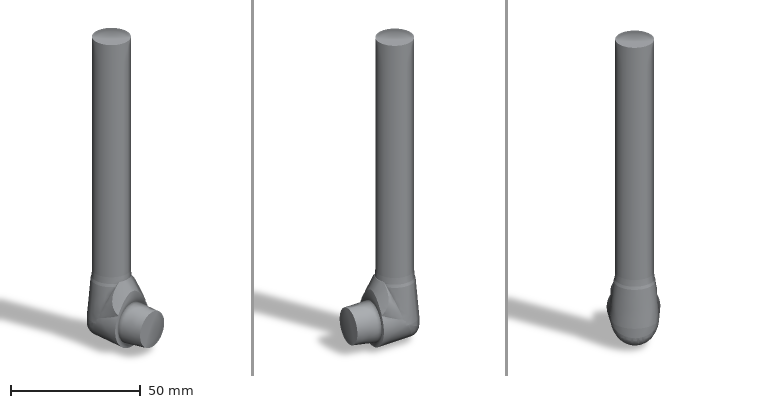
import cadquery as cq
import math

rod_radius = 7.5
rod_length = 100.0
outlet_reach = 20.0
taper = math.tan(math.radians(5.0))

hub_radius = 9.5
flange_x = 10.0
neck_start_z = 16.05
neck_end_z = 17.25
corner_radius = 5.0
corner_reach = 15.0
selection_margin = 1.0

web_base_radius = 9.38
web_taper = math.tan(math.radians(2.1))
web_length = 26.0
web_tilt = 45.0
web_top_z = 17.8
web_crown_radius = 7.95
web_skirt_radius = 16.0


def turned_about_z(profile):
    """Solid of revolution about Z from (radius, z) points between its two axis ends."""
    bottom_z = profile[0][1]
    top_z = profile[-1][1]
    outline = [(0, bottom_z)] + profile + [(0, top_z)]
    return cq.Workplane("XZ").polyline(outline).close().revolve(360, (0, 0), (0, 1))


def turned_about_x(profile):
    """Solid of revolution about X from (radius, x) points between its two axis ends."""
    return turned_about_z(profile).rotate((0, 0, 0), (0, 1, 0), 90)


def spigot_radius(distance):
    return rod_radius + (outlet_reach - distance) * taper


def upright_radius(z):
    return hub_radius - z * taper


def side_radius(x):
    return hub_radius + x * taper


def make_corner():
    """Outer bend: a straight cylinder trimmed by the side arm, with the crossing edge rounded."""
    cylinder = turned_about_z([(hub_radius, -corner_reach), (hub_radius, 0)])
    side_arm = turned_about_x([(side_radius(-corner_reach), -corner_reach), (side_radius(flange_x), flange_x)])
    corner = cylinder.intersect(side_arm)
    box_min = (-corner_reach, -corner_reach, -corner_reach)
    box_max = (-selection_margin, corner_reach, -selection_margin)
    below_centre = cq.selectors.BoxSelector(box_min, box_max)
    return corner.edges(below_centre).fillet(corner_radius)


def make_upright():
    """Tapered upright arm, conical neck, spigot and rod."""
    return turned_about_z([
        (upright_radius(0), 0),
        (upright_radius(neck_start_z), neck_start_z),
        (spigot_radius(neck_end_z), neck_end_z),
        (rod_radius, outlet_reach),
        (rod_radius, outlet_reach + rod_length),
    ])


def make_side_arm():
    """Side arm widening to the flat shoulder, followed by its tapered spigot."""
    return turned_about_x([
        (side_radius(0), 0),
        (side_radius(flange_x), flange_x),
        (spigot_radius(flange_x), flange_x),
        (rod_radius, outlet_reach),
    ])


def make_web():
    """Slim cone along the bend's diagonal, trimmed by the crown and the shoulder plane."""
    web_end_radius = web_base_radius - web_length * web_taper
    diagonal = turned_about_z([(web_base_radius, 0), (web_end_radius, web_length)])
    diagonal = diagonal.rotate((0, 0, 0), (0, 1, 0), web_tilt)
    crown = turned_about_z([
        (web_skirt_radius, -web_base_radius),
        (web_skirt_radius, 0),
        (web_crown_radius, web_top_z),
    ])
    block_size = 2 * web_length
    behind_shoulder = cq.Workplane("XY").box(block_size, block_size, block_size)
    behind_shoulder = behind_shoulder.translate((flange_x - block_size / 2, 0, 0))
    return diagonal.intersect(crown).intersect(behind_shoulder)


result = make_upright().union(make_side_arm()).union(make_corner()).union(make_web())